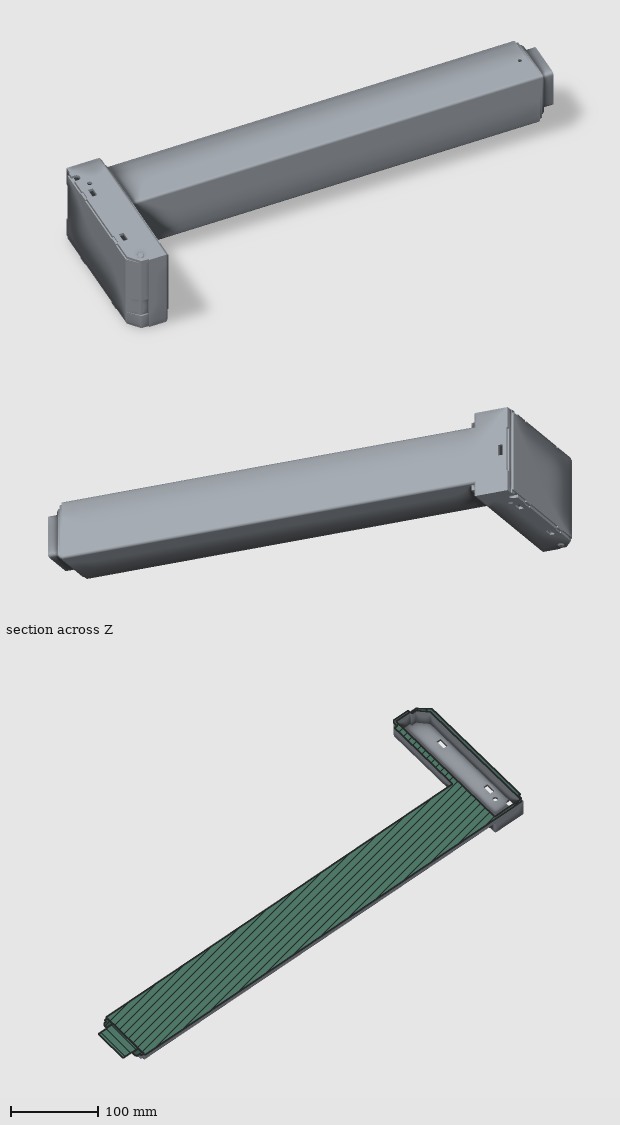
import cadquery as cq

TOTAL_LENGTH = 590.0
FOOT_WIDTH = 183.0
TOTAL_HEIGHT = 107.0

BOSS_RISE = 2.0
FOOT_HEIGHT = TOTAL_HEIGHT - 2 * BOSS_RISE
FOOT_BACK = 46.5
FOOT_EDGE_RADIUS = 3.5
WALL = 3.5
EDGE_SETBACK = 2.0
CORNER_SETBACK = 3.0
CORNER_WIDTH = 9.0
SIDE_INSET = 2.0
SIDE_WALL_START = 22.5

BEVEL_START_X = 167.0
BEVEL_END_Y = 13.5
BEVEL_END_X = FOOT_WIDTH - SIDE_INSET

PAD_LEFT = 4.0
PAD_RIGHT = 174.0
PAD_HEIGHT = 84.0
PAD_RISE = 4.0

COLUMN_SIZE = 70.0
COLUMN_CENTER_X = COLUMN_SIZE / 2
COLUMN_END = 568.0
COLUMN_EDGE_RADIUS = 3.0
SCREW_HOLE_DIAMETER = 5.0
SCREW_HOLE_DEPTH = 6.0
SCREW_HOLE_FROM_END = 9.0

SLOT_WIDTH = 12.5
SLOT_LENGTH_Y = 6.0
SLOT_CENTERS_X = (51.0, 134.5)
SLOT_CENTER_Y = 12.5
ROUND_HOLE_DIAMETER = 6.0
ROUND_HOLE_X = COLUMN_CENTER_X
ROUND_HOLE_Y = 16.0
ARCH_WIDTH = 9.0
ARCH_CENTER_X = 20.0
ARCH_TOP_Y = 10.5
WINDOW_HEIGHT = 13.0
WINDOW_LENGTH_Y = 5.5
WINDOW_CENTER_Y = 12.5
EDGE_NOTCH_HEIGHT = 53.0
EDGE_NOTCH_DEPTH = 2.0

BOSS_DIAMETER = 8.0
BOSS_CHAMFER = 1.0
BOSS_X = 172.0
BOSS_Y = 16.5

COVER_THICKNESS = 5.0
TAB_BACK_Y = 3.0
TAB_RISE = 2.0
TAB_WIDTH = SLOT_WIDTH
GRIP_HEIGHT = 23.0
GRIP_CENTER_Z = -21.0
GRIP_DEPTH = 2.0

COLLAR_BASE_SIZE = 66.0
COLLAR_BASE_LENGTH = 3.5
COLLAR_TOP_SIZE = 60.0
COLLAR_TOP_LENGTH = 5.5
COLLAR_CHAMFER = 2.5
COLLAR_EDGE_RADIUS = 3.0
INNER_TUBE_SIZE = 51.0
INNER_TUBE_EDGE_RADIUS = 3.5


def box(x_range, y_range, z_range):
    """Axis-aligned box between pairs of limits."""
    (x0, x1), (y0, y1), (z0, z1) = x_range, y_range, z_range
    return cq.Workplane("XY").box(x1 - x0, y1 - y0, z1 - z0, centered=False).translate((x0, y0, z0))


def prism(points, height):
    """Outline in XY extruded symmetrically about Z = 0."""
    return cq.Workplane("XY").polyline(points).close().extrude(height / 2, both=True)


def centered(center, size):
    return (center - size / 2, center + size / 2)


def square_bar(size, y_start, y_end, edge_radius):
    """Square bar on the column axis with rounded long edges."""
    bar = box(centered(COLUMN_CENTER_X, size), (y_start, y_end), centered(0, size))
    return bar.edges("|Y").fillet(edge_radius)


def cover_outline(front_y):
    """Front outline from the left corner to the side wall, left to right."""
    return [
        (CORNER_WIDTH, CORNER_SETBACK),
        (CORNER_WIDTH, front_y),
        (BEVEL_START_X, front_y),
        (BEVEL_END_X, BEVEL_END_Y),
        (BEVEL_END_X, SIDE_WALL_START),
    ]


def make_cover():
    inner_height = FOOT_HEIGHT - 2 * WALL
    bevel_inset = COVER_THICKNESS / 2
    points = [(WALL, CORNER_SETBACK)] + cover_outline(0) + [
        (BEVEL_END_X - COVER_THICKNESS, SIDE_WALL_START),
        (BEVEL_END_X - COVER_THICKNESS, BEVEL_END_Y + bevel_inset),
        (BEVEL_START_X - bevel_inset, COVER_THICKNESS),
        (WALL, COVER_THICKNESS),
    ]
    cover = prism(points, inner_height)
    for x in SLOT_CENTERS_X:
        tab = box(centered(x, TAB_WIDTH), (0, TAB_BACK_Y), centered(0, inner_height + 2 * TAB_RISE))
        cover = cover.union(tab)
    return cover.cut(make_grip())


def make_grip():
    """Shallow recess across the beveled corner of the cover."""
    points = [
        (BEVEL_START_X, 0),
        (BEVEL_END_X, BEVEL_END_Y),
        (BEVEL_END_X, SIDE_WALL_START),
        (BEVEL_END_X - GRIP_DEPTH, SIDE_WALL_START),
        (BEVEL_END_X - GRIP_DEPTH, BEVEL_END_Y),
    ]
    return prism(points, GRIP_HEIGHT).translate((0, 0, GRIP_CENTER_Z))


def make_foot():
    points = [(0, CORNER_SETBACK)] + cover_outline(EDGE_SETBACK) + [
        (FOOT_WIDTH, SIDE_WALL_START),
        (FOOT_WIDTH, FOOT_BACK),
        (0, FOOT_BACK),
    ]
    foot = prism(points, FOOT_HEIGHT).faces(">Y").edges().fillet(FOOT_EDGE_RADIUS)
    z_inside = centered(0, FOOT_HEIGHT - 2 * WALL)
    cavity = box((WALL, FOOT_WIDTH - WALL), (0, FOOT_BACK - WALL), z_inside)
    side_opening = box((WALL, FOOT_WIDTH), (0, SIDE_WALL_START), z_inside)
    return foot.cut(cavity).cut(side_opening)


def cut_foot_openings(foot):
    z_through = centered(0, TOTAL_HEIGHT)
    for x in SLOT_CENTERS_X:
        foot = foot.cut(box(centered(x, SLOT_WIDTH), centered(SLOT_CENTER_Y, SLOT_LENGTH_Y), z_through))
        foot = foot.cut(box(centered(x, TAB_WIDTH), (0, TAB_BACK_Y), z_through))
    round_hole = (
        cq.Workplane("XY")
        .center(ROUND_HOLE_X, ROUND_HOLE_Y)
        .circle(ROUND_HOLE_DIAMETER / 2)
        .extrude(TOTAL_HEIGHT / 2, both=True)
    )
    arch_half = ARCH_WIDTH / 2
    arch = (
        cq.Workplane("XY")
        .moveTo(ARCH_CENTER_X - arch_half, 0)
        .lineTo(ARCH_CENTER_X - arch_half, ARCH_TOP_Y - arch_half)
        .threePointArc((ARCH_CENTER_X, ARCH_TOP_Y), (ARCH_CENTER_X + arch_half, ARCH_TOP_Y - arch_half))
        .lineTo(ARCH_CENTER_X + arch_half, 0)
        .close()
        .extrude(TOTAL_HEIGHT / 2, both=True)
    )
    window = box((0, WALL), centered(WINDOW_CENTER_Y, WINDOW_LENGTH_Y), centered(0, WINDOW_HEIGHT))
    notch_end = CORNER_SETBACK + EDGE_NOTCH_DEPTH
    edge_notch = box((0, WALL), (0, notch_end), centered(0, EDGE_NOTCH_HEIGHT))
    return foot.cut(round_hole).cut(arch).cut(window).cut(edge_notch)


def make_bosses():
    """Hinge bosses that stand on the upper and lower walls of the foot."""
    upper = (
        cq.Workplane("XY", origin=(BOSS_X, BOSS_Y, FOOT_HEIGHT / 2 - WALL))
        .circle(BOSS_DIAMETER / 2)
        .extrude(WALL + BOSS_RISE)
        .faces(">Z")
        .chamfer(BOSS_CHAMFER)
    )
    return upper.union(upper.mirror("XY"))


def make_column():
    column = square_bar(COLUMN_SIZE, FOOT_BACK - FOOT_EDGE_RADIUS, COLUMN_END, COLUMN_EDGE_RADIUS)
    screw_hole = (
        cq.Workplane("XY", origin=(COLUMN_CENTER_X, COLUMN_END - SCREW_HOLE_FROM_END, COLUMN_SIZE / 2))
        .circle(SCREW_HOLE_DIAMETER / 2)
        .extrude(-SCREW_HOLE_DEPTH)
    )
    return column.cut(screw_hole)


def make_housing():
    foot = cut_foot_openings(make_foot())
    pad = box((PAD_LEFT, PAD_RIGHT), (FOOT_BACK - WALL, FOOT_BACK + PAD_RISE), centered(0, PAD_HEIGHT))
    return foot.union(make_bosses()).union(pad).union(make_column()).clean()


def make_inner_tube():
    return square_bar(INNER_TUBE_SIZE, COLUMN_END, TOTAL_LENGTH, INNER_TUBE_EDGE_RADIUS)


def make_collar(inner_tube):
    step = COLUMN_END + COLLAR_BASE_LENGTH
    base = square_bar(COLLAR_BASE_SIZE, COLUMN_END, step, COLLAR_EDGE_RADIUS)
    top = square_bar(COLLAR_TOP_SIZE, step, step + COLLAR_TOP_LENGTH, COLLAR_EDGE_RADIUS)
    top = top.faces(">Y").edges().chamfer(COLLAR_CHAMFER)
    return base.union(top).cut(inner_tube)


housing = make_housing()
cover = make_cover()
inner_tube = make_inner_tube()
collar = make_collar(inner_tube)

result = cq.Compound.makeCompound([housing.val(), cover.val(), collar.val(), inner_tube.val()])